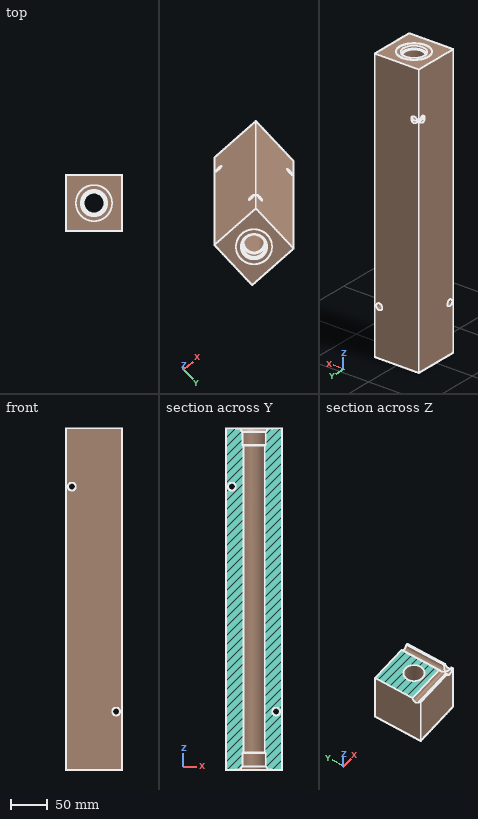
import cadquery as cq
import math

side = 76.2
length = 463.55

bore_diameter = 28.0

spotface_diameter = 49.0
spotface_depth = 0.8
seat_mouth_diameter = 35.8
seat_root_diameter = 33.6
seat_depth = 3.5
lead_in_angle = 45.0
port_diameter = 31.1
port_depth = 23.0
drill_point_angle = 118.0

mount_diameter = 10.3
mount_edge_distance = 8.1
mount_end_distance = 79.4

half_side = side / 2
half_length = length / 2

bore_radius = bore_diameter / 2
port_radius = port_diameter / 2
seat_root_radius = seat_root_diameter / 2
seat_mouth_radius = seat_mouth_diameter / 2
spotface_radius = spotface_diameter / 2

lead_in_length = (seat_root_radius - port_radius) / math.tan(math.radians(lead_in_angle))
drill_point_length = (port_radius - bore_radius) / math.tan(math.radians(drill_point_angle / 2))

mount_offset = half_side - mount_edge_distance
mount_height = half_length - mount_end_distance


def bore_and_port():
    """Revolved cutter for the upper half: the bore from mid-length, opening into the top port."""
    spotface_z = half_length - spotface_depth
    seat_root_z = spotface_z - seat_depth
    lead_in_z = seat_root_z - lead_in_length
    port_end_z = half_length - port_depth
    return (
        cq.Workplane("XZ")
        .moveTo(0, 0)
        .lineTo(bore_radius, 0)
        .lineTo(bore_radius, port_end_z - drill_point_length)
        .lineTo(port_radius, port_end_z)
        .lineTo(port_radius, lead_in_z)
        .lineTo(seat_root_radius, seat_root_z)
        .lineTo(seat_mouth_radius, spotface_z)
        .lineTo(spotface_radius, spotface_z)
        .lineTo(spotface_radius, half_length)
        .lineTo(0, half_length)
        .close()
        .revolve(360, (0, 0, 0), (0, 1, 0))
    )


def mounting_holes(plane, upper_offset):
    """Two holes through the full width, the upper at upper_offset and the lower diagonally opposite."""
    return (
        cq.Workplane(plane)
        .pushPoints([(upper_offset, mount_height), (-upper_offset, -mount_height)])
        .circle(mount_diameter / 2)
        .extrude(half_side, both=True)
    )


bar = cq.Workplane("XY").box(side, side, length)
upper_cutter = bore_and_port()
lower_cutter = upper_cutter.mirror("XY")

result = (
    bar.cut(upper_cutter)
    .cut(lower_cutter)
    .cut(mounting_holes("XZ", -mount_offset))
    .cut(mounting_holes("YZ", mount_offset))
)